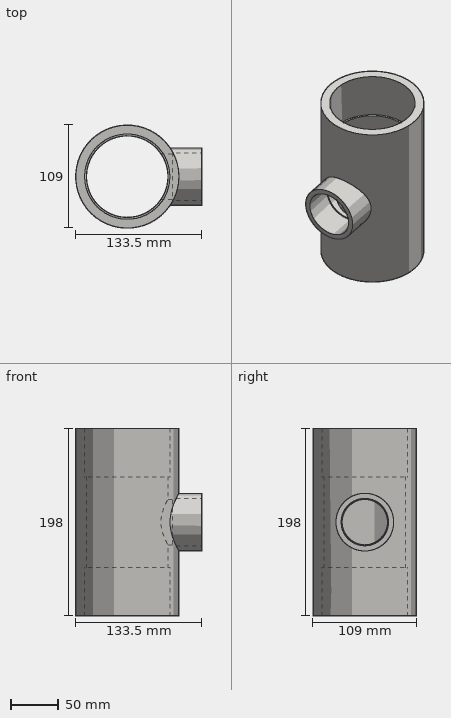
import cadquery as cq

body_length = 198.0
body_diameter = 109.0
body_bore_diameter = 86.0
body_socket_diameter = 90.0
body_socket_depth = 51.0

overall_width = 133.5
branch_reach = overall_width - body_diameter / 2
branch_diameter = 61.0
branch_bore_diameter = 48.0
branch_socket_diameter = 50.0
branch_socket_depth = 31.0


def upright_cylinder(diameter, bottom, height):
    """Cylinder on the main axis, rising from the given Z level."""
    return cq.Workplane("XY").workplane(offset=bottom).circle(diameter / 2).extrude(height)


def branch_cylinder(diameter, start, length):
    """Cylinder on the branch axis, running toward +X from the given X position."""
    return cq.Workplane("YZ").workplane(offset=start).circle(diameter / 2).extrude(length)


body_bottom = -body_length / 2
top_socket_bottom = body_length / 2 - body_socket_depth
outer = upright_cylinder(body_diameter, body_bottom, body_length)
outer = outer.union(branch_cylinder(branch_diameter, 0, branch_reach))

result = outer.cut(upright_cylinder(body_bore_diameter, body_bottom, body_length))
for socket_bottom in (body_bottom, top_socket_bottom):
    result = result.cut(upright_cylinder(body_socket_diameter, socket_bottom, body_socket_depth))

result = result.cut(branch_cylinder(branch_bore_diameter, 0, branch_reach))
branch_socket_start = branch_reach - branch_socket_depth
result = result.cut(branch_cylinder(branch_socket_diameter, branch_socket_start, branch_socket_depth))